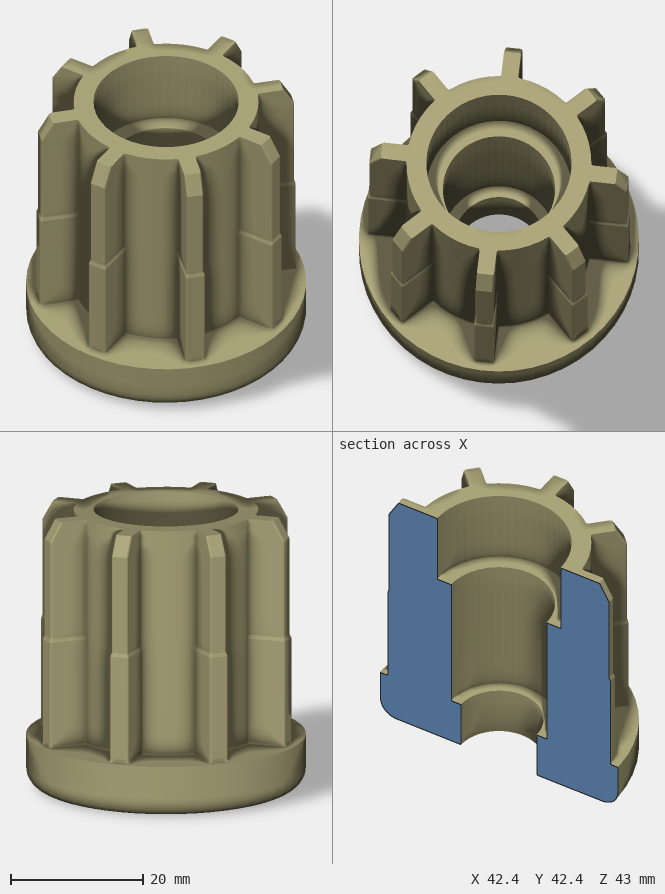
import cadquery as cq
import math

total_height = 43.0
flange_radius = 21.22
flange_height = 8.0
flange_rounding = 2.9

tube_radius = 14.0
socket_radius = 11.0
socket_depth = 12.0
bore_radius = 8.5
hole_radius = 6.75

rib_count = 8
rib_reach = 19.85
rib_half_width = 1.5
rib_step = 0.2
step_bottom = 24.4
step_top = 25.0
lead_in_height = 3.0
lead_in_angle = 30.0
rib_root = (socket_radius + tube_radius) / 2
rib_foot = flange_height / 2
edge_radius = 0.3
root_radius = 0.3

tolerance = 0.001

upper_reach = rib_reach - rib_step
upper_half_width = rib_half_width - rib_step
lead_in_start = total_height - lead_in_height
top_reach = upper_reach - lead_in_height * math.tan(math.radians(lead_in_angle))


def cylinder(radius, bottom, top):
    return cq.Workplane("XY", origin=(0, 0, bottom)).circle(radius).extrude(top - bottom)


def make_flange():
    return cylinder(flange_radius, 0, flange_height).faces("<Z").edges().fillet(flange_rounding)


def rib_section(plane, reach, half_width):
    """Add the plan outline of a rib with rounded outer corners."""
    return (
        plane.moveTo(rib_root, -half_width)
        .lineTo(reach - edge_radius, -half_width)
        .radiusArc((reach, -half_width + edge_radius), -edge_radius)
        .lineTo(reach, half_width - edge_radius)
        .radiusArc((reach - edge_radius, half_width), -edge_radius)
        .lineTo(rib_root, half_width)
        .close()
    )


def make_lower_rib():
    plane = cq.Workplane("XY", origin=(0, 0, rib_foot))
    return rib_section(plane, rib_reach, rib_half_width).extrude(step_bottom - rib_foot)


def make_rib_step():
    """Sloped transition between the wide lower rib and the narrow upper rib."""
    plane = cq.Workplane("XY", origin=(0, 0, step_bottom))
    lower = rib_section(plane, rib_reach, rib_half_width)
    upper = rib_section(lower.workplane(offset=step_top - step_bottom), upper_reach, upper_half_width)
    return upper.loft(ruled=True)


def make_upper_rib():
    """Narrow rib with a sloped lead-in and rounded outer edges."""
    rib = (
        cq.Workplane("XZ")
        .moveTo(rib_root, step_top)
        .lineTo(upper_reach, step_top)
        .lineTo(upper_reach, lead_in_start)
        .lineTo(top_reach, total_height)
        .lineTo(rib_root, total_height)
        .close()
        .extrude(upper_half_width, both=True)
    )
    upright_edges = rib.edges("|Z").edges(">X")
    slope_edges = rib.edges("not(|X or |Y or |Z)")
    return upright_edges.add(slope_edges).fillet(edge_radius)


def make_rib():
    """One complete rib along +X."""
    return make_lower_rib().union(make_rib_step()).union(make_upper_rib())


def make_ribbed_body():
    body = make_flange().union(cylinder(tube_radius, flange_height, total_height))
    rib = make_rib()
    for index in range(rib_count):
        body = body.union(rib.rotate((0, 0, 0), (0, 0, 1), index * 360 / rib_count))
    return body


def is_inner_corner(edge):
    """True where the ribs meet the tube, or where ribs and tube stand on the flange."""
    points = [edge.positionAt(fraction) for fraction in (0, 0.3, 0.5, 1)]
    radii = [math.hypot(point.x, point.y) for point in points]
    on_flange_top = all(abs(point.z - flange_height) < tolerance for point in points)
    on_flange_rim = all(abs(radius - flange_radius) < tolerance for radius in radii)
    on_tube_wall = all(abs(radius - tube_radius) < tolerance for radius in radii)
    on_tube_end = all(abs(point.z - total_height) < tolerance for point in points)
    return (on_flange_top and not on_flange_rim) or (on_tube_wall and not on_tube_end)


def round_inner_corners(body):
    corners = [edge for edge in body.edges().vals() if is_inner_corner(edge)]
    return body.newObject(corners).fillet(root_radius)


def make_bore():
    """Stepped opening: wide socket, middle bore, then a hole through the flange."""
    socket = cylinder(socket_radius, total_height - socket_depth, total_height)
    bore = cylinder(bore_radius, flange_height, total_height)
    hole = cylinder(hole_radius, 0, total_height)
    return socket.union(bore).union(hole)


result = round_inner_corners(make_ribbed_body()).cut(make_bore())